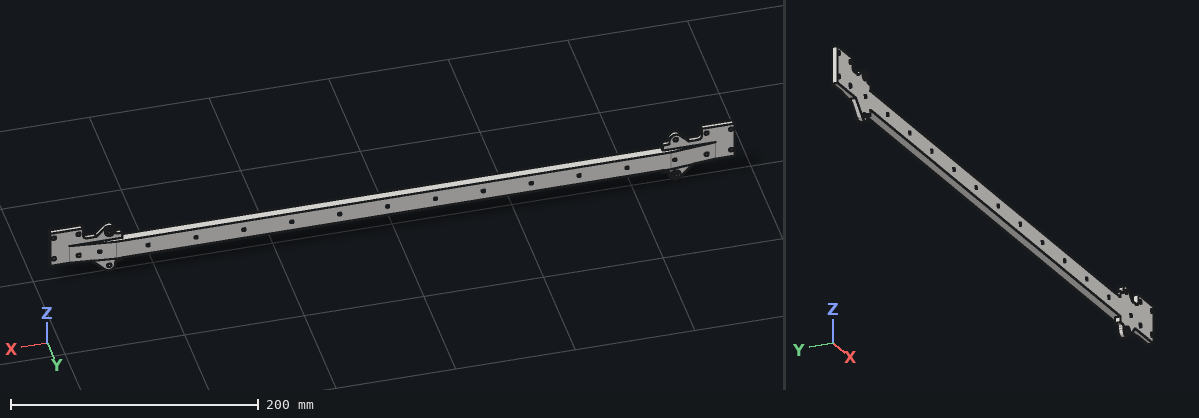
import cadquery as cq
import math

length = 572.0
height = 47.0
half_length = length / 2
top_z = height / 2

plate_thickness = 5.0
boss_rise = 1.5
bar_rise = 4.0
depth = boss_rise + plate_thickness + bar_rise
plate_front = -depth / 2 + boss_rise
plate_back = plate_front + plate_thickness
bar_back = depth / 2

axis_z = -0.85
bar_height = 17.0
bar_bottom = axis_z - bar_height / 2
ramp_start_x = 270.0
ramp_length = 38.5

plate_inner_x = 258.5
notch_radius = 3.5
shoulder_half_height = 14.0
shoulder_x = 226.0
shoulder_top = axis_z + shoulder_half_height
shoulder_bottom = axis_z - shoulder_half_height

lug_x = 237.0
lug_radius = 5.0
lug_root_radius = 2.0
lug_offset_z = top_z + axis_z - lug_radius
lug_top_z = axis_z + lug_offset_z
lug_bottom_z = axis_z - lug_offset_z
boss_diameter = 7.5

lug_hole_diameter = 3.3
plate_hole_diameter = 3.2
plate_hole_x = (283.0, 262.5)
plate_hole_z = (18.5, -2.6)
bar_hole_diameter = 2.5
bar_hole_count = 13
bar_hole_pitch = 40.0
bar_hole_first_x = -235.0


def front_plane(y):
    """XZ workplane at the given Y; extrusions go toward +Y."""
    return cq.Workplane(cq.Plane(origin=(0, y, 0), xDir=(1, 0, 0), normal=(0, -1, 0)))


def cylinder_y(x, z, diameter, y_from, y_to):
    """Cylinder along Y between two Y positions."""
    return front_plane(y_from).center(x, z).circle(diameter / 2).extrude(y_from - y_to)


def round_corner(plate, x, z, radius):
    """Fillet the plate's through-thickness edge nearest to the given corner."""
    middle_y = (plate_front + plate_back) / 2
    return plate.edges("|Y").edges(cq.NearestToPointSelector((x, middle_y, z))).fillet(radius)


def end_plate():
    """Left end plate with its notch, shoulders and two rounded lugs."""
    lug_inner_x = -lug_x + lug_radius
    tangent = lug_radius / math.sqrt(2)
    flank_x = -lug_x - lug_radius * math.sqrt(2)
    flank_top_x = flank_x - (lug_top_z - shoulder_top)
    flank_bottom_x = flank_x - (bar_bottom - lug_bottom_z)
    outline = (
        front_plane(plate_front)
        .moveTo(-half_length, bar_bottom)
        .lineTo(-half_length, top_z)
        .lineTo(-plate_inner_x, top_z)
        .lineTo(-plate_inner_x, shoulder_top)
        .lineTo(flank_top_x, shoulder_top)
        .lineTo(-lug_x - tangent, lug_top_z + tangent)
        .threePointArc((-lug_x + tangent, lug_top_z + tangent), (lug_inner_x, lug_top_z))
        .lineTo(lug_inner_x, shoulder_top)
        .lineTo(-shoulder_x, shoulder_top)
        .lineTo(-shoulder_x, shoulder_bottom)
        .lineTo(lug_inner_x, shoulder_bottom)
        .lineTo(lug_inner_x, lug_bottom_z)
        .threePointArc(
            (-lug_x + tangent, lug_bottom_z - tangent),
            (-lug_x - tangent, lug_bottom_z - tangent),
        )
        .lineTo(flank_bottom_x, bar_bottom)
        .close()
    )
    plate = outline.extrude(-plate_thickness)
    plate = round_corner(plate, -plate_inner_x, shoulder_top, notch_radius)
    for shoulder_z in (shoulder_top, shoulder_bottom):
        plate = round_corner(plate, lug_inner_x, shoulder_z, lug_root_radius)
    return plate


def bar():
    """Straight bar whose back ramps down to the plates at both ends."""
    full_depth_x = ramp_start_x - ramp_length
    profile = [
        (-ramp_start_x, plate_front),
        (ramp_start_x, plate_front),
        (ramp_start_x, plate_back),
        (full_depth_x, bar_back),
        (-full_depth_x, bar_back),
        (-ramp_start_x, plate_back),
    ]
    return cq.Workplane("XY").workplane(offset=bar_bottom).polyline(profile).close().extrude(bar_height)


left_plate = end_plate()
result = bar().union(left_plate).union(left_plate.mirror("YZ"))

for side in (-1, 1):
    for lug_z in (lug_top_z, lug_bottom_z):
        faces_front = (side < 0) == (lug_z > axis_z)
        boss_start = plate_front - boss_rise if faces_front else plate_front
        boss_end = plate_back if faces_front else plate_back + boss_rise
        result = result.union(cylinder_y(side * lug_x, lug_z, boss_diameter, boss_start, boss_end))

holes = []
for side in (-1, 1):
    for lug_z in (lug_top_z, lug_bottom_z):
        holes.append((side * lug_x, lug_z, lug_hole_diameter))
    for hole_x in plate_hole_x:
        for hole_z in plate_hole_z:
            holes.append((side * hole_x, hole_z, plate_hole_diameter))
for index in range(bar_hole_count):
    holes.append((bar_hole_first_x + index * bar_hole_pitch, axis_z, bar_hole_diameter))

for hole_x, hole_z, diameter in holes:
    result = result.cut(cylinder_y(hole_x, hole_z, diameter, -depth, depth))